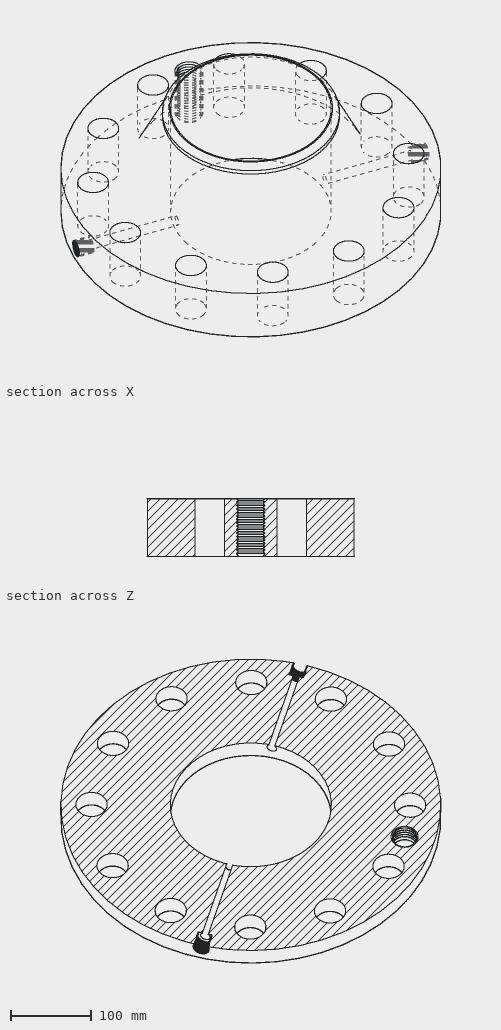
import cadquery as cq
import math

MILLIMETRES_PER_INCH = 25.4

FLANGE_DIAMETER = 469.9
FLANGE_THICKNESS = 71.5
OVERALL_HEIGHT = 169.98

HUB_DIAMETER = 298.5
HUB_FILLET_RADIUS = 3.0
NECK_DIAMETER = 219.1
NECK_STRAIGHT_LENGTH = 5.5
BORE_DIAMETER = 198.5

WELD_BEVEL_ANGLE = 37.5
WELD_LAND_WIDTH = 1.6

BOLT_COUNT = 12
BOLT_HOLE_DIAMETER = 38.1
BOLT_CIRCLE_DIAMETER = 393.7

JACK_MAJOR_DIAMETER = 34.9
JACK_MINOR_DIAMETER = 30.3
JACK_THREADS_PER_INCH = 6
JACK_PITCH = MILLIMETRES_PER_INCH / JACK_THREADS_PER_INCH

TAP_MAJOR_DIAMETER = 21.0
TAP_MINOR_DIAMETER = 18.5
TAP_THREADS_PER_INCH = 14
TAP_PITCH = MILLIMETRES_PER_INCH / TAP_THREADS_PER_INCH
TAP_THREAD_LENGTH = 20.0
TAP_DRILL_DIAMETER = 12.0
TAP_HEIGHT = 19.1

flange_radius = FLANGE_DIAMETER / 2
neck_radius = NECK_DIAMETER / 2
bore_radius = BORE_DIAMETER / 2
bolt_circle_radius = BOLT_CIRCLE_DIAMETER / 2


def make_body():
    """Revolve the disc, tapered hub and bevelled neck around the bore, and fillet the hub root."""
    land_radius = bore_radius + WELD_LAND_WIDTH
    bevel_height = (neck_radius - land_radius) * math.tan(math.radians(WELD_BEVEL_ANGLE))
    bevel_base = OVERALL_HEIGHT - bevel_height
    body = (
        cq.Workplane("XZ")
        .moveTo(bore_radius, 0)
        .lineTo(flange_radius, 0)
        .lineTo(flange_radius, FLANGE_THICKNESS)
        .lineTo(HUB_DIAMETER / 2, FLANGE_THICKNESS)
        .lineTo(neck_radius, bevel_base - NECK_STRAIGHT_LENGTH)
        .lineTo(neck_radius, bevel_base)
        .lineTo(land_radius, OVERALL_HEIGHT)
        .lineTo(bore_radius, OVERALL_HEIGHT)
        .close()
        .revolve(360, (0, 0, 0), (0, 1, 0))
    )
    hub_root = cq.selectors.RadiusNthSelector(-2)
    return body.edges("%CIRCLE").edges(hub_root).fillet(HUB_FILLET_RADIUS)


def make_thread_cutter(major_diameter, minor_diameter, pitch, length):
    """Threaded-hole cutter along +Z: V-shaped rings one pitch apart, full width at the origin."""
    major_radius = major_diameter / 2
    minor_radius = minor_diameter / 2
    ring_count = math.floor(length / pitch)
    profile = cq.Workplane("XZ").moveTo(0, 0).lineTo(major_radius, 0)
    for ring in range(ring_count):
        ring_start = ring * pitch
        profile = profile.lineTo(minor_radius, ring_start + pitch / 2)
        profile = profile.lineTo(major_radius, ring_start + pitch)
    profile = profile.lineTo(minor_radius, length).lineTo(0, length).close()
    return profile.revolve(360, (0, 0, 0), (0, 1, 0))


def make_bolt_holes():
    """Through holes that straddle the X and Y axes."""
    spacing = 360 / BOLT_COUNT
    return (
        cq.Workplane("XY")
        .polarArray(bolt_circle_radius, spacing / 2, 360, BOLT_COUNT)
        .circle(BOLT_HOLE_DIAMETER / 2)
        .extrude(FLANGE_THICKNESS)
    )


def make_jackscrew_hole():
    """Threaded through hole, with its full-width mouth at the top face of the flange."""
    cutter = make_thread_cutter(JACK_MAJOR_DIAMETER, JACK_MINOR_DIAMETER, JACK_PITCH, FLANGE_THICKNESS)
    return cutter.rotate((0, 0, 0), (1, 0, 0), 180).translate((-bolt_circle_radius, 0, FLANGE_THICKNESS))


def make_pressure_tap():
    """Radial hole on the -Y side: a threaded mouth at the rim, then a plain drill into the bore."""
    thread = make_thread_cutter(TAP_MAJOR_DIAMETER, TAP_MINOR_DIAMETER, TAP_PITCH, TAP_THREAD_LENGTH)
    drill = cq.Workplane("XY").circle(TAP_DRILL_DIAMETER / 2).extrude(flange_radius)
    cutter = thread.union(drill)
    return cutter.rotate((0, 0, 0), (1, 0, 0), -90).translate((0, -flange_radius, TAP_HEIGHT))


pressure_tap = make_pressure_tap()
result = (
    make_body()
    .cut(make_bolt_holes())
    .cut(make_jackscrew_hole())
    .cut(pressure_tap)
    .cut(pressure_tap.mirror("XZ"))
)